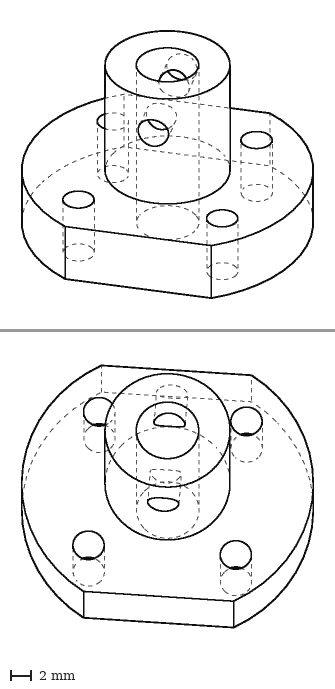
import cadquery as cq

flange_diameter = 27.95
flange_thickness = 6.0
across_flats = 23.95
flat_angle = -45.0
hub_diameter = 12.0
total_height = 18.0
bore_diameter = 5.98
small_hole_diameter = 3.0
mounting_circle_radius = 10.0
mounting_hole_count = 4
cross_hole_drop = 4.0


def make_flange():
    """Round flange trimmed by two parallel flats."""
    disc = cq.Workplane("XY").circle(flange_diameter / 2).extrude(flange_thickness)
    flats = (
        cq.Workplane("XY")
        .transformed(rotate=(0, 0, flat_angle))
        .rect(across_flats, flange_diameter)
        .extrude(flange_thickness)
    )
    return disc.intersect(flats)


def make_hub():
    return cq.Workplane("XY").circle(hub_diameter / 2).extrude(total_height)


def make_vertical_holes():
    """Central bore and the ring of mounting holes."""
    bore = cq.Workplane("XY").circle(bore_diameter / 2).extrude(total_height)
    mounting_holes = (
        cq.Workplane("XY")
        .polarArray(mounting_circle_radius, 0, 360, mounting_hole_count)
        .circle(small_hole_diameter / 2)
        .extrude(flange_thickness)
    )
    return bore.union(mounting_holes)


def make_cross_hole():
    """Hole through both hub walls, square to the flats."""
    return (
        cq.Workplane("YZ")
        .center(0, total_height - cross_hole_drop)
        .circle(small_hole_diameter / 2)
        .extrude(hub_diameter, both=True)
        .rotate((0, 0, 0), (0, 0, 1), flat_angle)
    )


result = make_flange().union(make_hub()).cut(make_vertical_holes()).cut(make_cross_hole())